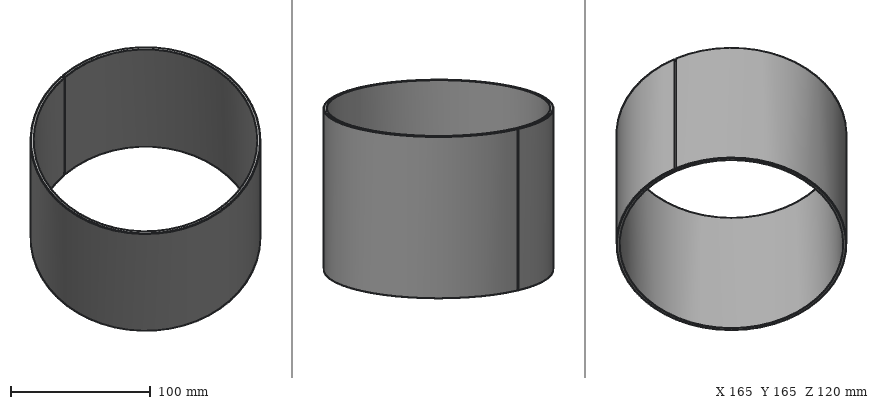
import cadquery as cq

outer_diameter = 165.0
wall = 2.5
height = 120.0
outer_chamfer = 0.5
inner_chamfer = 0.2
slit_angle = 1.0

outer_radius = outer_diameter / 2
inner_radius = outer_radius - wall
full_turn = 360.0

axis_base = (0, 0)
axis_top = (0, height)


def make_sleeve():
    """Closed tube about Z with 45 degree chamfers on all four rim edges."""
    wall_section = (
        cq.Workplane("XZ")
        .moveTo(outer_radius, outer_chamfer)
        .lineTo(outer_radius, height - outer_chamfer)
        .lineTo(outer_radius - outer_chamfer, height)
        .lineTo(inner_radius + inner_chamfer, height)
        .lineTo(inner_radius, height - inner_chamfer)
        .lineTo(inner_radius, inner_chamfer)
        .lineTo(inner_radius + inner_chamfer, 0)
        .lineTo(outer_radius - outer_chamfer, 0)
        .close()
    )
    return wall_section.revolve(full_turn, axis_base, axis_top)


def make_slit_cutter():
    """Wedge about Z with one face on the -X axis and the other turned towards +Y."""
    reach = 2 * outer_radius
    wedge_face = (
        cq.Workplane("XZ")
        .moveTo(-reach, 0)
        .lineTo(0, 0)
        .lineTo(0, height)
        .lineTo(-reach, height)
        .close()
    )
    return wedge_face.revolve(slit_angle, axis_top, axis_base)


result = make_sleeve().cut(make_slit_cutter())